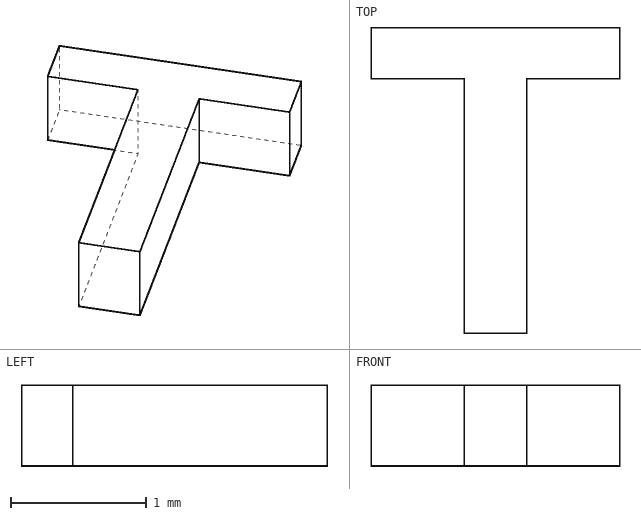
import cadquery as cq

total_length = 2.26
bar_width = 1.84
thickness = 0.6

bar_depth = 0.377
stem_width = 0.465
stem_length = total_length - bar_depth

stem = cq.Workplane("XY").box(stem_width, stem_length, thickness, centered=(True, False, False))

crossbar = (
    cq.Workplane("XY")
    .box(bar_width, bar_depth, thickness, centered=(True, False, False))
    .translate((0, stem_length, 0))
)

result = stem.union(crossbar).clean()